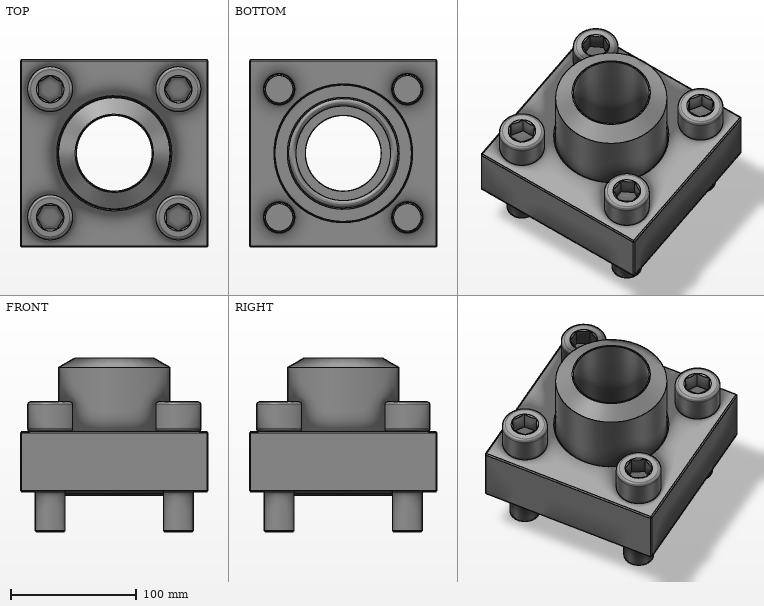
import cadquery as cq
import math

plate_side = 150.0
plate_thickness = 48.0
screw_length = 80.0
plate_top = screw_length
plate_bottom = plate_top - plate_thickness
plate_chamfer = 1.0
pipe_hole_diameter = 90.0
pipe_hole_chamfer = 1.0
collar_recess_diameter = 111.0

overall_height = 139.0
bore_diameter = 60.5
pipe_diameter = 89.0
pipe_land = 1.0
weld_bevel_angle = 30.0
collar_diameter = 110.0
collar_protrusion = 2.0
collar_chamfer = 0.5
collar_seat_height = 18.0
pipe_bottom = plate_bottom - collar_protrusion
collar_top = plate_bottom + collar_seat_height

ring_inner_diameter = 75.6
ring_outer_diameter = 87.3
ring_protrusion = 1.2
groove_outer_diameter = 89.5
ring_section = (ring_outer_diameter - ring_inner_diameter) / 2
groove_depth = ring_section - ring_protrusion

screw_spacing = 102.5
screw_diameter = 24.0
screw_hole_diameter = 25.0
screw_tip_chamfer = 1.0
head_diameter = 36.0
head_height = screw_diameter
head_fillet = 2.4
hex_corner_diameter = 21.9
hex_depth = 15.0
hex_lead_in_angle = 30.0
socket_angles = {(-1, -1): 0, (1, -1): 30, (1, 1): 0, (-1, 1): 30}
screw_positions = {
    (x_side, y_side): (x_side * screw_spacing / 2, y_side * screw_spacing / 2)
    for x_side, y_side in socket_angles
}


def cylinder(diameter, bottom, top):
    return cq.Workplane("XY", origin=(0, 0, bottom)).circle(diameter / 2).extrude(top - bottom)


def make_flange():
    plate = (
        cq.Workplane("XY", origin=(0, 0, plate_bottom))
        .rect(plate_side, plate_side)
        .extrude(plate_thickness)
        .edges()
        .chamfer(plate_chamfer)
    )
    plate = plate.cut(cylinder(pipe_hole_diameter, plate_bottom, plate_top))
    plate = plate.faces(">Z").edges("%CIRCLE").chamfer(pipe_hole_chamfer)
    plate = plate.cut(cylinder(collar_recess_diameter, plate_bottom, collar_top))
    for x, y in screw_positions.values():
        plate = plate.cut(cylinder(screw_hole_diameter, plate_bottom, plate_top).translate((x, y, 0)))
    return plate


def make_pipe():
    bore_radius = bore_diameter / 2
    pipe_radius = pipe_diameter / 2
    collar_radius = collar_diameter / 2
    land_radius = bore_radius + pipe_land
    bevel_height = (pipe_radius - land_radius) * math.tan(math.radians(weld_bevel_angle))
    profile = [
        (bore_radius, pipe_bottom),
        (collar_radius - collar_chamfer, pipe_bottom),
        (collar_radius, pipe_bottom + collar_chamfer),
        (collar_radius, collar_top),
        (pipe_radius, collar_top),
        (pipe_radius, overall_height - bevel_height),
        (land_radius, overall_height),
        (bore_radius, overall_height),
    ]
    pipe = cq.Workplane("XZ").polyline(profile).close().revolve(360, (0, 0), (0, 1))
    groove_top = pipe_bottom + groove_depth
    groove = cylinder(groove_outer_diameter, pipe_bottom, groove_top).cut(
        cylinder(ring_inner_diameter, pipe_bottom, groove_top)
    )
    return pipe.cut(groove)


def make_seal_ring():
    centre_radius = (ring_inner_diameter + ring_section) / 2
    centre_height = pipe_bottom - ring_protrusion + ring_section / 2
    return (
        cq.Workplane("XZ")
        .center(centre_radius, centre_height)
        .circle(ring_section / 2)
        .revolve(360, (-centre_radius, 0), (-centre_radius, 1))
    )


def make_screw(socket_angle):
    head_top = plate_top + head_height
    head = cylinder(head_diameter, plate_top, head_top)
    head = head.edges("%CIRCLE").fillet(head_fillet)
    shank = cylinder(screw_diameter, 0, screw_length).faces("<Z").chamfer(screw_tip_chamfer)
    socket = (
        cq.Workplane("XY", origin=(0, 0, head_top - hex_depth))
        .polygon(6, hex_corner_diameter)
        .extrude(hex_depth)
        .rotate((0, 0, 0), (0, 0, 1), socket_angle)
    )
    lead_in_depth = hex_corner_diameter / 2 * math.tan(math.radians(hex_lead_in_angle))
    lead_in_tip = cq.Vector(0, 0, head_top - lead_in_depth)
    lead_in = cq.Solid.makeCone(0, hex_corner_diameter / 2, lead_in_depth, pnt=lead_in_tip)
    return head.union(shank).cut(socket).cut(cq.Workplane(lead_in))


flange = make_flange()
pipe = make_pipe()
seal_ring = make_seal_ring()
screws = []
for sides, (x, y) in screw_positions.items():
    screws.append(make_screw(socket_angles[sides]).translate((x, y, 0)))

result = cq.Compound.makeCompound(
    [flange.val(), pipe.val(), seal_ring.val(), *[screw.val() for screw in screws]]
)